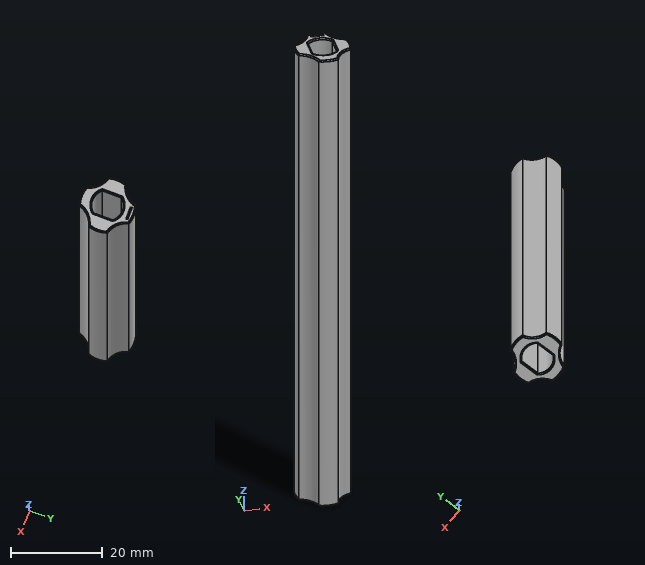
import cadquery as cq
import math

length = 112.5
outer_diameter = 12.47
outer_radius = outer_diameter / 2

lobe_count = 4
lobe_pitch = 360 / lobe_count
lobe_width = 4.4
flute_bottom_radius = 4.97

bore_diameter = 7.0
bore_flat_width = 5.4

edge_chamfer = 0.3

mark_length = 2.8
mark_width = 0.35
mark_depth = 0.2
mark_offset = 5.05


def polar_point(radius, angle):
    """XY coordinates of a point at a radius and an angle in degrees."""
    radians = math.radians(angle)
    return (radius * math.cos(radians), radius * math.sin(radians))


def lobed_body():
    """Round bar with a concave flute between neighbouring lobes."""
    half_lobe_angle = math.degrees(math.asin(lobe_width / 2 / outer_radius))
    outline = cq.Workplane("XY").moveTo(*polar_point(outer_radius, -half_lobe_angle))
    for lobe in range(lobe_count):
        lobe_angle = lobe * lobe_pitch
        lobe_end = lobe_angle + half_lobe_angle
        next_lobe_start = lobe_angle + lobe_pitch - half_lobe_angle
        outline = outline.threePointArc(
            polar_point(outer_radius, lobe_angle),
            polar_point(outer_radius, lobe_end),
        )
        outline = outline.threePointArc(
            polar_point(flute_bottom_radius, lobe_angle + lobe_pitch / 2),
            polar_point(outer_radius, next_lobe_start),
        )
    return outline.close().extrude(length)


def double_d_bore():
    """Round through bore with two flats facing along X."""
    between_flats = cq.Workplane("XY").rect(bore_flat_width, bore_diameter).extrude(length)
    return cq.Workplane("XY").circle(bore_diameter / 2).extrude(length).intersect(between_flats)


def orientation_mark():
    """Cutter for the slot in the top face."""
    return (
        cq.Workplane("XY", origin=(0, mark_offset, length))
        .rect(mark_length, mark_width)
        .extrude(-mark_depth)
    )


tube = lobed_body().cut(double_d_bore())
chamfered_tube = tube.faces("<Z or >Z").edges().chamfer(edge_chamfer)
result = chamfered_tube.cut(orientation_mark())